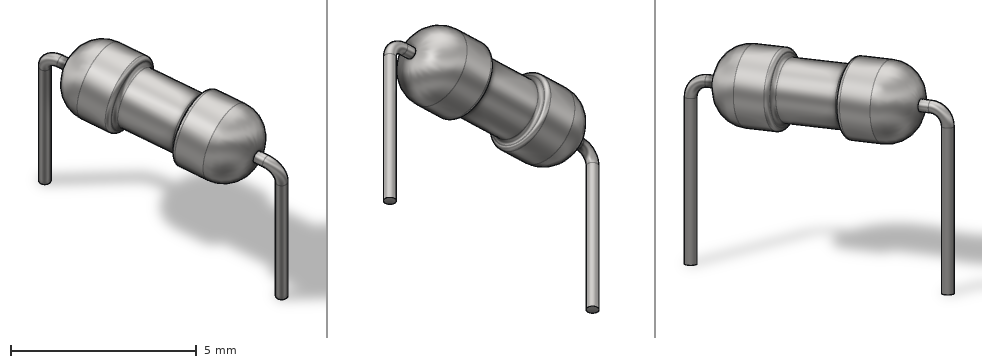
import cadquery as cq

body_length = 6.0
cap_diameter = 2.3
cap_length = 2.0
neck_diameter = 1.8
dome_radius = 0.98
cap_edge_radius = 0.12
neck_fillet = 0.12

wire_diameter = 0.35
lead_pitch = 7.6
bend_radius = 0.5
lead_drop = 4.0

axis_height = cap_diameter / 2
neck_length = body_length - 2 * cap_length


def make_neck():
    """Straight stretch of the neck between the two fillets."""
    length = neck_length - 2 * neck_fillet
    neck_plane = cq.Workplane("YZ", origin=(-length / 2, 0, axis_height))
    return neck_plane.circle(neck_diameter / 2).extrude(length)


def make_cap():
    """Domed cap at the +X end, with a rounded inner rim and the fillet onto the neck."""
    neck_radius = neck_diameter / 2
    cap_radius = cap_diameter / 2
    rim_x = neck_length / 2
    end_x = body_length / 2
    half_profile = (
        cq.Workplane("XY", origin=(0, 0, axis_height))
        .moveTo(rim_x - neck_fillet, 0)
        .lineTo(rim_x - neck_fillet, neck_radius)
        .radiusArc((rim_x, neck_radius + neck_fillet), -neck_fillet)
        .lineTo(rim_x, cap_radius - cap_edge_radius)
        .radiusArc((rim_x + cap_edge_radius, cap_radius), cap_edge_radius)
        .lineTo(end_x - dome_radius, cap_radius)
        .radiusArc((end_x, cap_radius - dome_radius), dome_radius)
        .lineTo(end_x, 0)
        .close()
    )
    return half_profile.revolve(360, (0, 0, 0), (1, 0, 0))


def make_lead():
    """Wire at the +X end, from inside the cap, round the bend and down."""
    start_x = neck_length / 2 + cap_length / 2
    lead_x = lead_pitch / 2
    bend_start = (lead_x - bend_radius, axis_height)
    bend_end = (lead_x, axis_height - bend_radius)
    path = (
        cq.Workplane("XZ")
        .moveTo(start_x, axis_height)
        .lineTo(*bend_start)
        .tangentArcPoint(bend_end, relative=False)
        .lineTo(lead_x, -lead_drop)
    )
    return (
        cq.Workplane("YZ", origin=(start_x, 0, axis_height))
        .circle(wire_diameter / 2)
        .sweep(path)
    )


end_with_lead = make_cap().union(make_lead())
result = make_neck().union(end_with_lead).union(end_with_lead.mirror("YZ"))